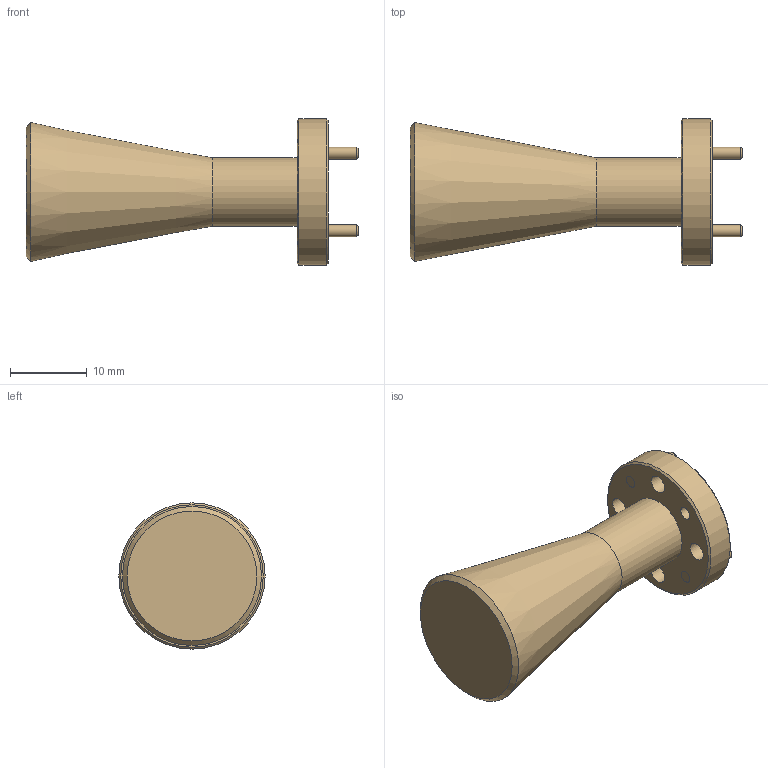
import cadquery as cq
import math

mouth_diameter = 18.1
mouth_chamfer = 0.6
horn_length = 24.25
neck_diameter = 8.9

flange_start = 35.3
flange_diameter = 19.05
flange_thickness = 4.05
flange_chamfer = 0.25

pitch_radius = 14.29 / 2
screw_hole_diameter = 2.4
alignment_hole_diameter = 1.7
pin_diameter = 1.56
pin_chamfer = 0.2
overall_length = 43.24

screw_hole_angles = (0, 90, 180, 270)
pin_angles = (45, 225)
alignment_hole_angles = (135, 315)


def pitch_points(angles):
    """Points (Y, Z) on the pitch circle at the given angles."""
    return [
        (pitch_radius * math.cos(math.radians(a)), pitch_radius * math.sin(math.radians(a)))
        for a in angles
    ]


def make_horn():
    """Chamfered conical horn running into a cylindrical neck."""
    mouth_radius = mouth_diameter / 2
    neck_radius = neck_diameter / 2
    return (
        cq.Workplane("XY")
        .moveTo(0, 0)
        .lineTo(0, mouth_radius - mouth_chamfer)
        .lineTo(mouth_chamfer, mouth_radius)
        .lineTo(horn_length, neck_radius)
        .lineTo(flange_start, neck_radius)
        .lineTo(flange_start, 0)
        .close()
        .revolve(360, (0, 0, 0), (1, 0, 0))
    )


def make_flange():
    """Disc with both rims chamfered, drilled for screws and alignment pins."""
    disc = (
        cq.Workplane("YZ", origin=(flange_start, 0, 0))
        .circle(flange_diameter / 2)
        .extrude(flange_thickness)
        .edges()
        .chamfer(flange_chamfer)
    )
    for diameter, angles in (
        (screw_hole_diameter, screw_hole_angles),
        (alignment_hole_diameter, alignment_hole_angles),
    ):
        drills = (
            cq.Workplane("YZ", origin=(flange_start, 0, 0))
            .pushPoints(pitch_points(angles))
            .circle(diameter / 2)
            .extrude(flange_thickness)
        )
        disc = disc.cut(drills)
    return disc


def make_pins():
    """Pins through the flange, flush with its horn side and chamfered at the free tip."""
    return (
        cq.Workplane("YZ", origin=(flange_start, 0, 0))
        .pushPoints(pitch_points(pin_angles))
        .circle(pin_diameter / 2)
        .extrude(overall_length - flange_start)
        .faces(">X")
        .edges()
        .chamfer(pin_chamfer)
    )


result = make_horn().union(make_flange()).union(make_pins(), clean=False)